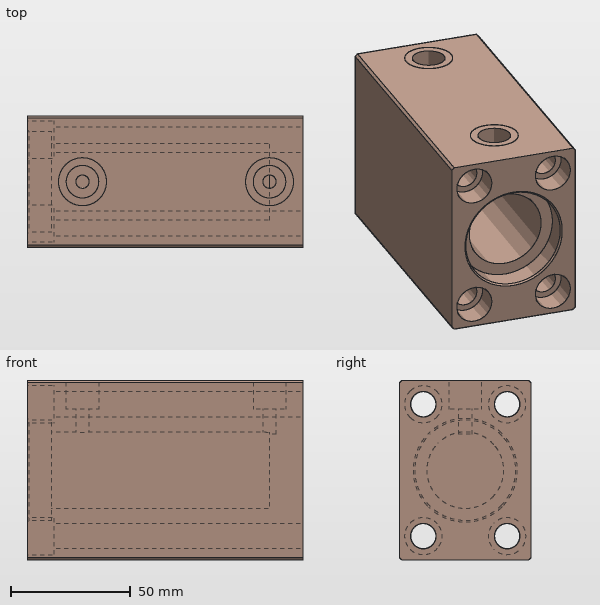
import cadquery as cq

LENGTH = 115.0
WIDTH = 55.0
HEIGHT = 75.0
EDGE_CHAMFER = 1.0

BORE_DIAMETER = 32.0
BORE_END = 101.0
MOUTH_DIAMETER = 42.0
MOUTH_DEPTH = 10.0
MOUTH_CHAMFER = 0.7

BOLT_SPACING_Y = 35.0
BOLT_SPACING_Z = 55.0
BOLT_HOLE_DIAMETER = 10.5
COUNTERBORE_DIAMETER = 15.5
COUNTERBORE_DEPTH = 11.0

PORT_POSITIONS_X = (23.0, BORE_END)
SPOT_FACE_DIAMETER = 20.0
SPOT_FACE_DEPTH = 0.1
PORT_DIAMETER = 13.6
PORT_DEPTH = 12.0
PASSAGE_DIAMETER = 5.5
PASSAGE_OVERLAP = 0.9


def cut_along_x(diameter, depth):
    """Cylinder starting at the open end face and centred on the bore axis."""
    return cq.Workplane("YZ").circle(diameter / 2).extrude(depth)


def make_block():
    block = cq.Workplane("XY").box(LENGTH, WIDTH, HEIGHT, centered=(False, True, True))
    return block.edges("|X").chamfer(EDGE_CHAMFER)


def make_bore():
    mouth_chamfer = (
        cq.Workplane("YZ")
        .circle(MOUTH_DIAMETER / 2 + MOUTH_CHAMFER)
        .workplane(offset=MOUTH_CHAMFER)
        .circle(MOUTH_DIAMETER / 2)
        .loft()
    )
    mouth = cut_along_x(MOUTH_DIAMETER, MOUTH_DEPTH)
    return cut_along_x(BORE_DIAMETER, BORE_END).union(mouth).union(mouth_chamfer)


def make_bolt_hole():
    counterbore = cut_along_x(COUNTERBORE_DIAMETER, COUNTERBORE_DEPTH)
    return cut_along_x(BOLT_HOLE_DIAMETER, LENGTH).union(counterbore)


def make_port(x):
    top = cq.Workplane("XY", origin=(x, 0, HEIGHT / 2))
    passage_depth = (HEIGHT - BORE_DIAMETER) / 2 + PASSAGE_OVERLAP
    spot_face = top.circle(SPOT_FACE_DIAMETER / 2).extrude(-SPOT_FACE_DEPTH)
    port = top.circle(PORT_DIAMETER / 2).extrude(-PORT_DEPTH)
    passage = top.circle(PASSAGE_DIAMETER / 2).extrude(-passage_depth)
    return spot_face.union(port).union(passage)


result = make_block().cut(make_bore())

for y in (-BOLT_SPACING_Y / 2, BOLT_SPACING_Y / 2):
    for z in (-BOLT_SPACING_Z / 2, BOLT_SPACING_Z / 2):
        result = result.cut(make_bolt_hole().translate((0, y, z)))

for port_x in PORT_POSITIONS_X:
    result = result.cut(make_port(port_x))